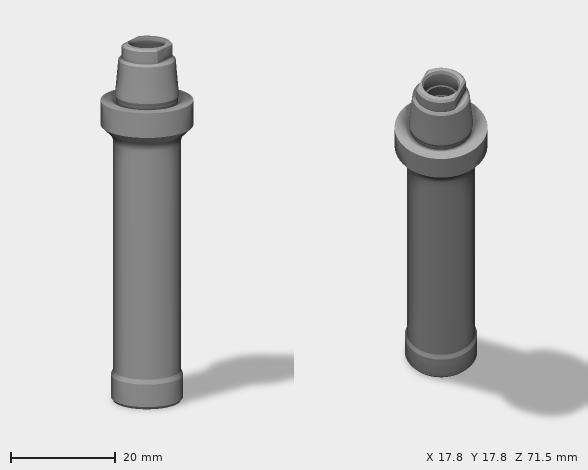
import cadquery as cq
import math

length = 71.45
base_overlap = 0.7

collar_radius = 6.9
collar_top = 5.1
collar_shoulder = 0.9
foot_chamfer_radius = 0.4
foot_chamfer_height = 0.6

shaft_radius = 6.54
flange_radius = 8.895
flange_top = 60
flange_bottom = 55.1
neck_fillet = 2.0

groove_outer_radius = 6.8
groove_inner_radius = 5.9
groove_depth = 0.35
neck_height = 0.4

taper_bottom = 61.0
taper_bottom_radius = 6.15
taper_top = 68.6
taper_top_radius = 5.5
taper_chamfer = 0.4

tongue_radius = 4.895
tongue_width = 8.0
tongue_chamfer = 0.4

mouth_radius = 3.35
mouth_chamfer_radius = 0.3
mouth_chamfer_depth = 0.65
mouth_depth = 3.6
middle_radius = 2.9
middle_depth = 5.7
bore_radius = 2.5
bore_depth = 10.7
drill_point_angle = 118


def make_body():
    """Revolve the outer profile, without the tongue."""
    fillet_angle = math.radians(45)
    cone_end_radius = shaft_radius + neck_fillet * (1 - math.cos(fillet_angle))
    cone_end = flange_bottom - (flange_radius - cone_end_radius)
    fillet_end = cone_end - neck_fillet * math.sin(fillet_angle)
    fillet_mid_radius = shaft_radius + neck_fillet * (1 - math.cos(fillet_angle / 2))
    fillet_mid = fillet_end + neck_fillet * math.sin(fillet_angle / 2)

    profile = (
        cq.Workplane("XZ")
        .moveTo(0, 0)
        .lineTo(collar_radius - foot_chamfer_radius, 0)
        .lineTo(collar_radius, foot_chamfer_height)
        .lineTo(collar_radius, collar_top)
        .lineTo(shaft_radius, collar_top + collar_shoulder)
        .lineTo(shaft_radius, fillet_end)
        .threePointArc((fillet_mid_radius, fillet_mid), (cone_end_radius, cone_end))
        .lineTo(flange_radius, flange_bottom)
        .lineTo(flange_radius, flange_top)
        .lineTo(groove_outer_radius, flange_top)
        .lineTo(groove_inner_radius, flange_top - groove_depth)
        .lineTo(groove_inner_radius, flange_top + neck_height)
        .lineTo(taper_bottom_radius, taper_bottom)
        .lineTo(taper_top_radius, taper_top - taper_chamfer)
        .lineTo(taper_top_radius - taper_chamfer, taper_top)
        .lineTo(0, taper_top)
        .close()
    )
    return profile.revolve(360, (0, 0, 0), (0, 1, 0))


def make_tongue():
    """Round post with flats facing -X and +X and a chamfered rim."""
    height = length - taper_top + base_overlap
    base = cq.Workplane("XY", origin=(0, 0, taper_top - base_overlap))
    post = base.circle(tongue_radius).extrude(height)
    flats = base.rect(tongue_width, 2 * tongue_radius).extrude(height)
    return post.intersect(flats).faces(">Z").edges().chamfer(tongue_chamfer)


def make_bore():
    """Chamfered mouth, two narrower steps and conical drill point."""
    point_depth = bore_radius / math.tan(math.radians(drill_point_angle / 2))
    profile = (
        cq.Workplane("XZ")
        .moveTo(0, length)
        .lineTo(mouth_radius + mouth_chamfer_radius, length)
        .lineTo(mouth_radius, length - mouth_chamfer_depth)
        .lineTo(mouth_radius, length - mouth_depth)
        .lineTo(middle_radius, length - mouth_depth)
        .lineTo(middle_radius, length - middle_depth)
        .lineTo(bore_radius, length - middle_depth)
        .lineTo(bore_radius, length - bore_depth)
        .lineTo(0, length - bore_depth - point_depth)
        .close()
    )
    return profile.revolve(360, (0, 0, 0), (0, 1, 0))


result = make_body().union(make_tongue()).cut(make_bore())